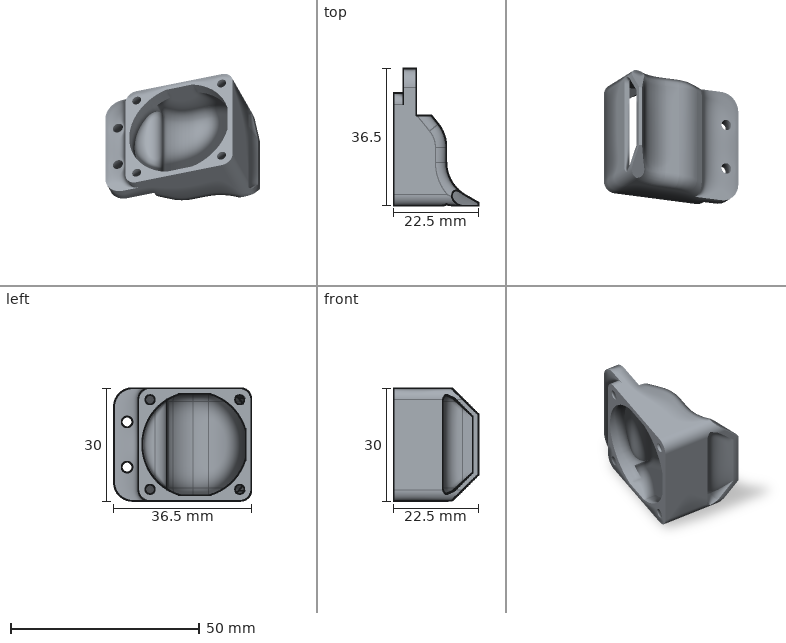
import math

import cadquery as cq

height = 30.0
half_height = height / 2
total_depth = 22.5
total_length = 36.5
wall = 1.5
far = 100.0

fan_size = 30.0
fan_plate_thickness = 2.5
tab_back = 6.0
fan_corner_radius = 3.0
tab_corner_radius = 5.0
tab_hole_diameter = 2.8
tab_hole_spacing = 12.0
tab_hole_edge_distance = 3.5

bore_radius = 14.0
bore_depth = tab_back - wall
screw_diameter = 2.5
screw_spacing = 23.8
screw_depth = bore_depth

duct_length = 24.0
duct_back = 14.0
straight_start = 11.5
straight_end = 15.5
bend_radius = 10.0
slope_angle = math.radians(39)
lip_angle = math.radians(60)
duct_edge_radius = 3.0
chamfer_size = 7.0
duct_lean_angle = math.radians(3.5)

cavity_front = 3.7
cavity_edge_radius = 2.0
cavity_corner_radius = 1.0
bore_lip_radius = 3.2
outlet_front = 13.0
cavity_bend_z = 12.3
cavity_bend_angle = math.radians(25)
cavity_lean_angle = math.radians(7)


def box(x_range, y_range, half_z):
    """Box between two X and two Y limits, centred on Z = 0."""
    size_x = x_range[1] - x_range[0]
    size_y = y_range[1] - y_range[0]
    corner = (x_range[0], y_range[0], -half_z)
    return cq.Workplane("XY").box(size_x, size_y, 2 * half_z, centered=False).translate(corner)


def cylinders(points, diameter, depth):
    """Cylinders along +X from the fan face, at (Y, Z) points."""
    return cq.Workplane("YZ").pushPoints(points).circle(diameter / 2).extrude(depth)


def swept_back(inset, half_z, edge_radius):
    """Everything in front of the curved back moved in by `inset`, with its long edges rounded."""
    back = duct_back - inset
    convex = bend_radius - inset
    concave = bend_radius + inset
    convex_center_x = back - convex
    concave_center_x = back + concave

    def on_convex(angle):
        return (convex_center_x + convex * math.cos(angle), straight_end + convex * math.sin(angle))

    def on_concave(angle):
        return (concave_center_x - concave * math.cos(angle), straight_start - concave * math.sin(angle))

    slope_start = on_convex(slope_angle)
    lip_start = on_concave(lip_angle)
    slope_reach = total_length - slope_start[1]
    slope_end = (slope_start[0] - slope_reach * math.tan(slope_angle), total_length)
    lip_reach = 2 * total_depth
    lip_end = (lip_start[0] + lip_reach, lip_start[1] - lip_reach / math.tan(lip_angle))
    block = (
        cq.Workplane("XY").workplane(offset=-half_z)
        .moveTo(-far, total_length)
        .lineTo(*slope_end)
        .lineTo(*slope_start)
        .threePointArc(on_convex(slope_angle / 2), (back, straight_end))
        .lineTo(back, straight_start)
        .threePointArc(on_concave(lip_angle / 2), lip_start)
        .lineTo(*lip_end)
        .lineTo(lip_end[0], -far)
        .lineTo(-far, -far)
        .close()
        .extrude(2 * half_z)
    )
    middle_x = back - edge_radius
    middle_y = (straight_start + straight_end) / 2
    selector = cq.selectors.BoxSelector(
        (middle_x, middle_y - edge_radius, -far), (back + edge_radius, middle_y + edge_radius, far)
    )
    return block.faces("|Z").edges(selector).fillet(edge_radius)


def leaning_prism(upper, lean_angle):
    """Prism along Y, mirrored about Z = 0, whose upper end points (X, Z) lean to -X with growing Y."""
    lower = [(x, -z) for x, z in reversed(upper)]
    outline = [(-far, half_height)] + upper + lower + [(-far, -half_height)]

    def section(y):
        shift = -y * math.tan(lean_angle)
        return cq.Wire.makePolygon([cq.Vector(x + shift, y, z) for x, z in outline], close=True)

    return cq.Workplane(cq.Solid.makeLoft([section(-wall), section(total_length)], True))


def duct_end():
    """Limit of the outlet end: one 45 degree face per corner."""
    start = (total_depth - chamfer_size, half_height)
    end = (total_depth + chamfer_size, half_height - 2 * chamfer_size)
    return leaning_prism([start, end], duct_lean_angle)


def cavity_end():
    """Limit of the hollow: 45 degree faces one wall inside the duct's, turning flatter at the corner."""
    corner_sum = total_depth + half_height - chamfer_size - wall * math.sqrt(2)
    bend_x = corner_sum - cavity_bend_z
    start_x = bend_x - (half_height - cavity_bend_z) / math.tan(cavity_bend_angle)
    end_x = total_depth + chamfer_size
    corner = [(start_x, half_height), (bend_x, cavity_bend_z), (end_x, corner_sum - end_x)]
    return leaning_prism(corner, cavity_lean_angle)


def outer_body():
    duct = box((0, total_depth), (0, duct_length), half_height)
    duct = duct.edges("|X and <Y").fillet(duct_edge_radius)
    duct = duct.intersect(swept_back(0, half_height, duct_edge_radius)).intersect(duct_end())

    fan_plate = box((0, tab_back), (0, fan_size), half_height).edges("|X").fillet(fan_corner_radius)
    tab = box((fan_plate_thickness, tab_back), (fan_size / 2, total_length), half_height)
    tab = tab.edges("|X and >Y").fillet(tab_corner_radius)
    return duct.union(fan_plate).union(tab)


def cavity():
    half_z = half_height - wall
    room = box((cavity_front, total_depth), (wall, duct_length - wall), half_z)
    room = room.edges("|X and >Y").fillet(cavity_corner_radius)
    outlet = box((outlet_front, total_depth), (-wall, bend_radius), half_z)
    outlet = outlet.edges("|Y and <X").fillet(cavity_edge_radius)
    hollow = room.union(outlet).intersect(cavity_end())
    hollow = hollow.intersect(swept_back(wall, half_z, cavity_edge_radius))
    return hollow.edges("|Z").edges(">Y").edges(">X").fillet(cavity_corner_radius)


def bore():
    """Fan bore, with a rounded lip where it turns into the cavity."""
    fan_center = [(fan_size / 2, 0)]
    end_y = duct_length - wall
    lip = (
        cq.Workplane("XY").workplane(offset=-half_height)
        .moveTo(bore_depth, end_y + bore_lip_radius)
        .radiusArc((bore_depth + bore_lip_radius, end_y), -bore_lip_radius)
        .lineTo(bore_depth, end_y)
        .close()
        .extrude(height)
        .intersect(cylinders(fan_center, 2 * bore_radius, total_depth))
    )
    limit = box((0, total_depth), (wall, fan_size), half_height - wall)
    return cylinders(fan_center, 2 * bore_radius, bore_depth).union(lip).intersect(limit)


screw_points = [
    (fan_size / 2 + side_y * screw_spacing / 2, side_z * screw_spacing / 2)
    for side_y in (-1, 1) for side_z in (-1, 1)
]
tab_hole_points = [
    (total_length - tab_hole_edge_distance, side * tab_hole_spacing / 2) for side in (-1, 1)
]

result = outer_body().cut(cavity()).cut(bore())
result = result.cut(cylinders(screw_points, screw_diameter, screw_depth))
result = result.cut(cylinders(tab_hole_points, tab_hole_diameter, tab_back))